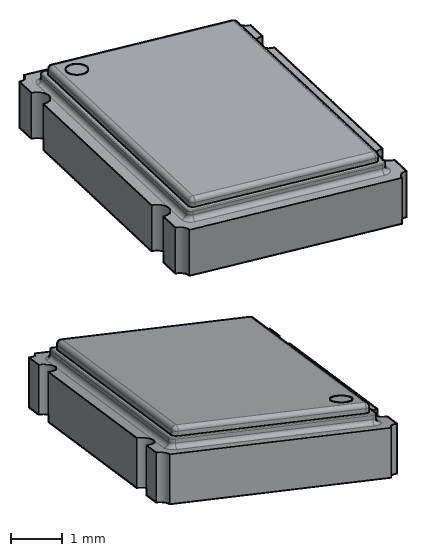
import cadquery as cq

base_length = 7.0
base_width = 5.0
base_height = 1.01
corner_notch_radius = 0.2
side_notch_radius = 0.25
side_notch_pitch = 5.08

ring_inset = 0.35
ring_height = 0.2
ring_edge_radius = 0.02
notch_clearance = 0.0001
foot_radius = ring_inset - side_notch_radius - notch_clearance

lid_inset = 0.45
lid_height = 0.2
lid_edge_radius = 0.1

plate_corner_radius = 0.1

marker_radius = 0.22
marker_depth = 0.01
marker_x = -2.59
marker_y = -1.62

ring_top = base_height + ring_height
lid_top = ring_top + lid_height


def notch_cylinders(pitch_x, radius):
    """Four vertical cylinders centred on the long side faces of the base."""
    return (
        cq.Workplane("XY")
        .rect(pitch_x, base_width, forConstruction=True)
        .vertices()
        .circle(radius)
        .extrude(base_height)
    )


def make_base():
    """Block with quarter-round corner notches and half-round side notches."""
    block = cq.Workplane("XY").rect(base_length, base_width).extrude(base_height)
    corner_notches = notch_cylinders(base_length, corner_notch_radius)
    side_notches = notch_cylinders(side_notch_pitch, side_notch_radius)
    return block.cut(corner_notches).cut(side_notches)


def make_plate(inset, bottom, height, edge_radius):
    """Plate set in from the base outline, with round corners and a rounded top edge."""
    plate = (
        cq.Workplane("XY", origin=(0, 0, bottom))
        .rect(base_length - 2 * inset, base_width - 2 * inset)
        .extrude(height)
    )
    plate = plate.edges("|Z").fillet(plate_corner_radius)
    return plate.faces(">Z").edges().fillet(edge_radius)


def add_ring(base):
    """Seal ring on top of the base, blended into it by a concave fillet."""
    body = base.union(make_plate(ring_inset, base_height, ring_height, ring_edge_radius))
    margin = ring_inset / 10
    half_x = base_length / 2 - ring_inset + margin
    half_y = base_width / 2 - ring_inset + margin
    around_foot = cq.selectors.BoxSelector(
        (-half_x, -half_y, base_height - margin),
        (half_x, half_y, base_height + margin),
        boundingbox=True,
    )
    return body.edges(around_foot).fillet(foot_radius)


def add_lid(body):
    """Flat lid on the seal ring."""
    return body.union(make_plate(lid_inset, ring_top, lid_height, lid_edge_radius))


def cut_marker(body):
    """Shallow round recess that marks pin 1."""
    marker = (
        cq.Workplane("XY", origin=(marker_x, marker_y, lid_top))
        .circle(marker_radius)
        .extrude(-marker_depth)
    )
    return body.cut(marker)


result = cut_marker(add_lid(add_ring(make_base())))